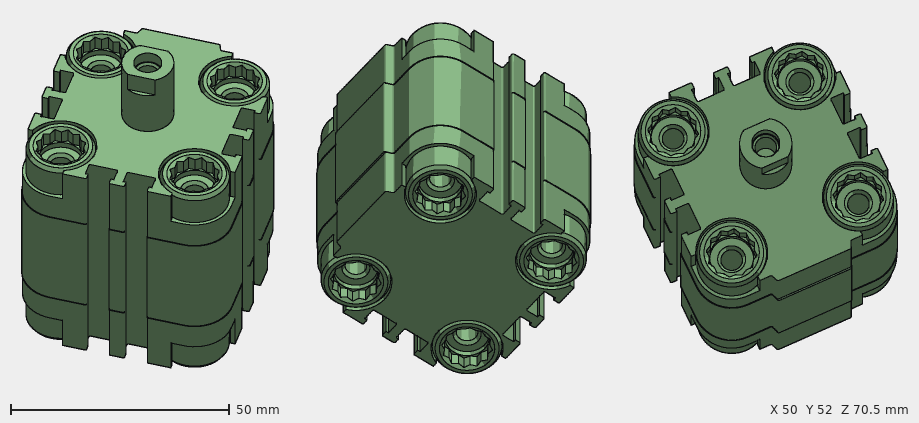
import cadquery as cq
import math


total_height = 70.5
housing_height = 54.4
cap_height = 14.45
barrel_height = housing_height - 2 * cap_height
rod_bottom = housing_height - cap_height

barrel_width = 50.0
barrel_depth = 52.0
barrel_half_width = barrel_width / 2
barrel_tab_top = barrel_depth - barrel_half_width
cap_half_width = 24.8
cap_tab_top = 26.65
corner_axis = 16.0
tab_half_width_top = 9.3
tab_half_width_base = 10.0
tab_fillet = 0.4

slot_floor = 20.0
slot_inner_wall = 1.1
slot_outer_wall = 8.0
slot_fillet = 0.35
lip_back = 23.3
lip_inner_wall = 1.8
lip_outer_wall = 7.25
lip_fillet = 0.35

boss_diameter = 16.0
boss_top_diameter = 14.65
boss_height = 7.9
boss_chamfer_height = 1.0
recess_gap = 0.25
recess_radius = boss_diameter / 2 + recess_gap
corner_cut_start = 13.0

socket_width = 10.1
socket_depth = 5.3
socket_mouth_diameter = 12.7
socket_mouth_depth = 0.7
star_depth = 3.8
star_diameter = socket_width / math.cos(math.pi / 6)
countersink_diameter = 6.4
through_diameter = 4.9
countersink_depth = (countersink_diameter - through_diameter) / 2

rod_diameter = 12.0
rod_flat_width = 10.0
rod_flat_height = 4.7
rod_bore_diameter = 6.4
rod_bore_depth = 2.75
thread_mouth_diameter = 6.0
thread_core_diameter = 4.9
thread_chamfer_depth = (thread_mouth_diameter - thread_core_diameter) / 2
thread_end_depth = 12.0
drill_tip_angle = 118.0

clearance = 0.7


def turned_about_z(points):
    """Solid of revolution about Z from (radius, height) points."""
    return cq.Workplane("XZ").polyline(points).close().revolve(360, (0, 0), (0, 1))


def turn_by(shape, angle):
    return shape.rotate((0, 0, 0), (0, 0, 1), angle)


def make_slot(half_width):
    """One undercut slot at +X on the -Y side of a section, its mouth flared by the rounded lips."""
    face = -half_width
    outside = face - clearance
    arc_middle = lip_fillet * (1 - math.sqrt(0.5))
    cutter = (
        cq.Workplane("XY")
        .moveTo(lip_inner_wall - lip_fillet, outside)
        .lineTo(lip_inner_wall - lip_fillet, face)
        .threePointArc((lip_inner_wall - arc_middle, face + arc_middle), (lip_inner_wall, face + lip_fillet))
        .lineTo(lip_inner_wall, -lip_back)
        .lineTo(slot_inner_wall, -lip_back)
        .lineTo(slot_inner_wall, -slot_floor)
        .lineTo(slot_outer_wall, -slot_floor)
        .lineTo(slot_outer_wall, -lip_back)
        .lineTo(lip_outer_wall, -lip_back)
        .lineTo(lip_outer_wall, face + lip_fillet)
        .threePointArc((lip_outer_wall + arc_middle, face + arc_middle), (lip_outer_wall + lip_fillet, face))
        .lineTo(lip_outer_wall + lip_fillet, outside)
        .close()
        .extrude(housing_height)
    )
    return cutter.edges("|Z").edges(">Y").fillet(slot_fillet)


def make_tab(half_width, tab_top, height):
    """Sloped tab on the +Y side, reaching in to the middle of the section."""
    tab = (
        cq.Workplane("XY")
        .moveTo(-tab_half_width_base, 0)
        .lineTo(-tab_half_width_base, half_width)
        .lineTo(-tab_half_width_top, tab_top)
        .lineTo(tab_half_width_top, tab_top)
        .lineTo(tab_half_width_base, half_width)
        .lineTo(tab_half_width_base, 0)
        .close()
        .extrude(height)
    )
    return tab.edges("|Z").edges(">Y").fillet(tab_fillet)


def make_section(half_width, tab_top, height):
    """Slotted prism standing on Z = 0, its rounded corners centred on the boss axes."""
    square = (
        cq.Workplane("XY")
        .rect(2 * half_width, 2 * half_width)
        .extrude(height)
        .edges("|Z")
        .fillet(half_width - corner_axis)
    )
    section = square.union(make_tab(half_width, tab_top, height))
    around = 0.1
    tab_base_edges = cq.selectors.BoxSelector(
        (-tab_half_width_base - around, half_width - around, -around),
        (tab_half_width_base + around, half_width + around, height + around),
    )
    section = section.edges("|Z").edges(tab_base_edges).fillet(tab_fillet)
    slot = make_slot(half_width)
    for side_angle in (-90, 0, 90):
        for cutter in (slot, slot.mirror("YZ")):
            section = section.cut(turn_by(cutter, side_angle))
    return section


def make_boss_clearance():
    """Space cleared around a top boss on the Z axis, leaving the boss with its chamfer."""
    ledge = housing_height - boss_height
    offset = corner_cut_start - corner_axis
    size = barrel_half_width - corner_cut_start + clearance
    corner_block = (
        cq.Workplane("XY").box(size, size, boss_height, centered=False).translate((offset, offset, ledge))
    )
    recess = turned_about_z(
        [(0, ledge), (recess_radius, ledge), (recess_radius, housing_height), (0, housing_height)]
    )
    boss = turned_about_z(
        [
            (0, ledge),
            (boss_diameter / 2, ledge),
            (boss_diameter / 2, housing_height - boss_chamfer_height),
            (boss_top_diameter / 2, housing_height),
            (0, housing_height),
        ]
    )
    return corner_block.union(recess).cut(boss)


def make_socket():
    """Twelve-point socket on the Z axis, with the hole below it down to mid-height."""
    floor = housing_height - socket_depth
    socket = turned_about_z(
        [
            (0, housing_height / 2),
            (through_diameter / 2, housing_height / 2),
            (through_diameter / 2, floor - countersink_depth),
            (countersink_diameter / 2, floor),
            (socket_width / 2, floor),
            (socket_width / 2, housing_height - socket_mouth_depth),
            (socket_mouth_diameter / 2, housing_height),
            (0, housing_height),
        ]
    )
    hexagon = (
        cq.Workplane("XY")
        .workplane(offset=housing_height - star_depth)
        .polygon(6, star_diameter)
        .extrude(star_depth)
    )
    for angle in (0, 30):
        socket = socket.union(turn_by(hexagon, angle))
    return socket


def make_housing():
    """Barrel and two caps as one solid, with a boss and socket at both ends of each corner."""
    barrel = make_section(barrel_half_width, barrel_tab_top, barrel_height)
    cap = make_section(cap_half_width, cap_tab_top, cap_height)
    body = barrel.translate((0, 0, cap_height))
    for cap_bottom in (0, rod_bottom):
        body = body.union(cap.translate((0, 0, cap_bottom)))

    for centred_cutter in (make_boss_clearance(), make_socket()):
        top_cutter = centred_cutter.translate((corner_axis, corner_axis, 0))
        bottom_cutter = top_cutter.mirror("XY", (0, 0, housing_height / 2))
        for corner_angle in (0, 90, 180, 270):
            for cutter in (top_cutter, bottom_cutter):
                body = body.cut(turn_by(cutter, corner_angle))

    rod_hole = cq.Workplane("XY").workplane(offset=rod_bottom).circle(rod_diameter / 2).extrude(cap_height)
    return body.cut(rod_hole)


def make_rod():
    """Round rod with two wrench flats and a counterbored, drilled end."""
    rod = (
        cq.Workplane("XY")
        .workplane(offset=rod_bottom)
        .circle(rod_diameter / 2)
        .extrude(total_height - rod_bottom)
    )
    flats = (
        cq.Workplane("XY")
        .workplane(offset=total_height - rod_flat_height)
        .rect(2 * rod_diameter, 2 * rod_diameter)
        .rect(2 * rod_diameter, rod_flat_width)
        .extrude(rod_flat_height)
    )
    bore_floor = total_height - rod_bore_depth
    thread_end = total_height - thread_end_depth
    drill_tip = thread_end - thread_core_diameter / 2 / math.tan(math.radians(drill_tip_angle / 2))
    hole = turned_about_z(
        [
            (0, drill_tip),
            (thread_core_diameter / 2, thread_end),
            (thread_core_diameter / 2, bore_floor - thread_chamfer_depth),
            (thread_mouth_diameter / 2, bore_floor),
            (rod_bore_diameter / 2, bore_floor),
            (rod_bore_diameter / 2, total_height),
            (0, total_height),
        ]
    )
    return rod.cut(flats).cut(hole)


housing = make_housing().solids()
rod = make_rod().solids()
result = cq.Compound.makeCompound([housing.val(), rod.val()])